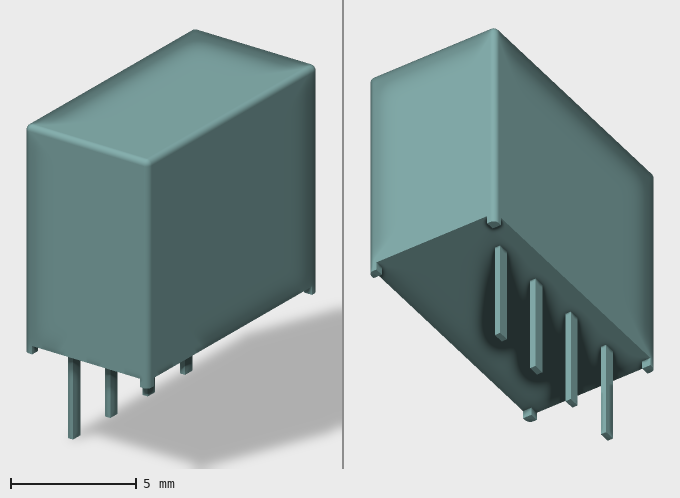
import cadquery as cq

case_length_x = 6.1
case_width_y = 11.53
total_height = 14.1
pin_drop = 4.1
case_height = total_height - pin_drop
edge_radius = 0.24

foot_side = 0.4
foot_height = 0.37

pin_count = 4
pin_pitch = 2.54
pin_thickness_x = 0.25
pin_width_y = 0.5
pin_row_inset = 1.13
pin_row_x = pin_row_inset - case_length_x / 2
pin_row_y = -0.13


def make_case():
    """Rounded block whose underside is relieved to leave four corner feet."""
    case = (
        cq.Workplane("XY")
        .box(case_length_x, case_width_y, case_height, centered=(True, True, False))
        .edges("|Z or >Z")
        .fillet(edge_radius)
    )
    relief_along_x = cq.Workplane("XY").box(
        case_length_x, case_width_y - 2 * foot_side, foot_height, centered=(True, True, False)
    )
    relief_along_y = cq.Workplane("XY").box(
        case_length_x - 2 * foot_side, case_width_y, foot_height, centered=(True, True, False)
    )
    return case.cut(relief_along_x).cut(relief_along_y)


def make_pins():
    """Row of pins running from the relieved underside to below the feet."""
    row_start_y = pin_row_y - (pin_count - 1) * pin_pitch / 2
    pin_centres = [(pin_row_x, row_start_y + i * pin_pitch) for i in range(pin_count)]
    return (
        cq.Workplane("XY")
        .workplane(offset=-pin_drop)
        .pushPoints(pin_centres)
        .rect(pin_thickness_x, pin_width_y)
        .extrude(pin_drop + foot_height)
    )


result = make_case().union(make_pins())